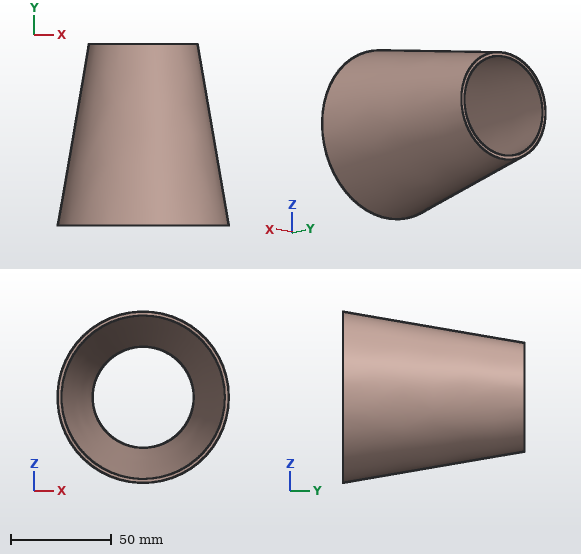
import cadquery as cq

large_diameter = 85.0
small_diameter = 54.0
wall_thickness = 2.0
length = 90.0

large_radius = large_diameter / 2
small_radius = small_diameter / 2


def wall_profile():
    """Section of the wall in the XY plane, on the +X side of the axis."""
    return (
        cq.Workplane("XY")
        .moveTo(large_radius - wall_thickness, 0)
        .lineTo(large_radius, 0)
        .lineTo(small_radius, length)
        .lineTo(small_radius - wall_thickness, length)
        .close()
    )


result = wall_profile().revolve(360, (0, 0, 0), (0, 1, 0))